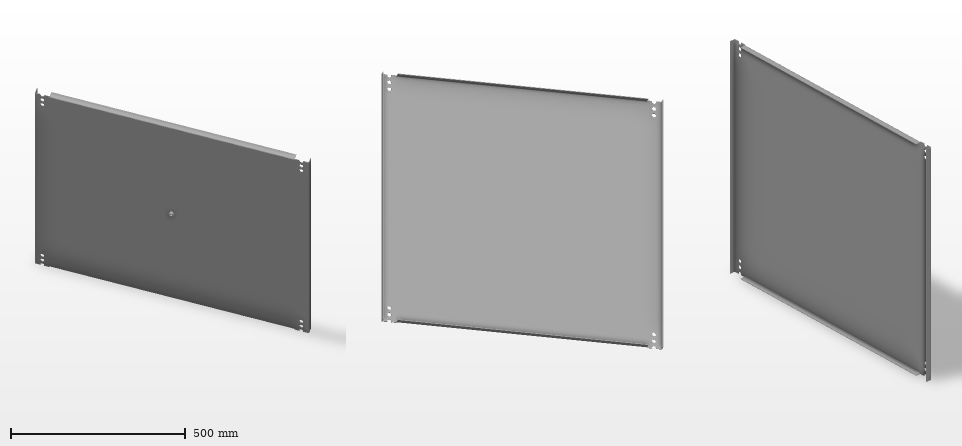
import cadquery as cq
import math

WIDTH = 825.5
HEIGHT = 774.0
DEPTH = 19.0
SHEET = 2.0
BEND_RADIUS = 3.0

FLANGE_SETBACK = 1.2

FLANGE_LENGTH = 737.0
RELIEF_WIDTH = 1.0
RELIEF_DEPTH = 4.0

HOLE_DIAMETER = 11.5
HOLE_EDGE_DISTANCE = 23.0
HOLE_PITCH = 21.05
OPEN_HOLE_INSET = 2.5
HOLES_PER_ROW = 3

RING_DIAMETER = 26.0
SHANK_DIAMETER = 11.5
HEX_ACROSS_FLATS = 13.0
HEX_PROJECTION = 8.0
BORE_DIAMETER = 7.85
BORE_DEPTH = 7.5

SIDES = (-1, 1)


def channel(span, length):
    """U-shaped channel along Z: web on the XZ plane, both legs pointing to +Y."""
    inner_radius = BEND_RADIUS - SHEET
    outer = cq.Workplane("XY").box(span, DEPTH, length, centered=(True, False, True))
    outer = outer.edges("|Z and <Y").fillet(BEND_RADIUS)
    inner = (
        cq.Workplane("XY", origin=(0, SHEET, 0))
        .box(span - 2 * SHEET, DEPTH, length, centered=(True, False, True))
        .edges("|Z and <Y")
        .fillet(inner_radius)
    )
    return outer.cut(inner)


def cut_reliefs(panel):
    """Cut the notches that free each end of the top and bottom flanges."""
    for side in SIDES:
        for end in SIDES:
            notch = cq.Workplane("XY").box(RELIEF_WIDTH, 2 * DEPTH, 2 * RELIEF_DEPTH)
            x = side * (FLANGE_LENGTH + RELIEF_WIDTH) / 2
            panel = panel.cut(notch.translate((x, 0, end * HEIGHT / 2)))
    return panel


def corner_hole_points():
    x = WIDTH / 2 - HOLE_EDGE_DISTANCE
    top = HEIGHT / 2 - OPEN_HOLE_INSET
    return [
        (side * x, end * (top - row * HOLE_PITCH))
        for side in SIDES
        for end in SIDES
        for row in range(HOLES_PER_ROW)
    ]


def make_panel():
    panel = channel(WIDTH, HEIGHT)
    web_end = cq.Workplane("XY").box(FLANGE_LENGTH, 4 * DEPTH, 2 * BEND_RADIUS)
    for end in SIDES:
        panel = panel.cut(web_end.translate((0, 0, end * HEIGHT / 2)))
    cross = channel(HEIGHT - 2 * FLANGE_SETBACK, FLANGE_LENGTH).rotate((0, 0, 0), (0, 1, 0), 90)
    panel = panel.union(cross)
    panel = cut_reliefs(panel)
    holes = (
        cq.Workplane("XZ")
        .pushPoints(corner_hole_points())
        .circle(HOLE_DIAMETER / 2)
        .extrude(DEPTH, both=True)
    )
    ring_seat = cq.Workplane("XZ").circle(RING_DIAMETER / 2).extrude(DEPTH, both=True)
    return panel.cut(holes).cut(ring_seat)


def make_ring():
    return (
        cq.Workplane("XZ", origin=(0, SHEET, 0))
        .circle(RING_DIAMETER / 2)
        .circle(SHANK_DIAMETER / 2)
        .extrude(SHEET)
    )


def make_bolt():
    """Hexagonal head in front of the ring, corners on the X axis, with its shank in the ring."""
    across_corners = HEX_ACROSS_FLATS / math.cos(math.pi / 6)
    head = cq.Workplane("XZ").polygon(6, across_corners).extrude(HEX_PROJECTION)
    shank = cq.Workplane("XZ", origin=(0, SHEET, 0)).circle(SHANK_DIAMETER / 2).extrude(SHEET)
    bore = (
        cq.Workplane("XZ", origin=(0, BORE_DEPTH - HEX_PROJECTION, 0))
        .circle(BORE_DIAMETER / 2)
        .extrude(BORE_DEPTH)
    )
    return head.union(shank).cut(bore)


panel = make_panel()
ring = make_ring()
bolt = make_bolt()

result = cq.Compound.makeCompound([panel.val(), ring.val(), bolt.val()])